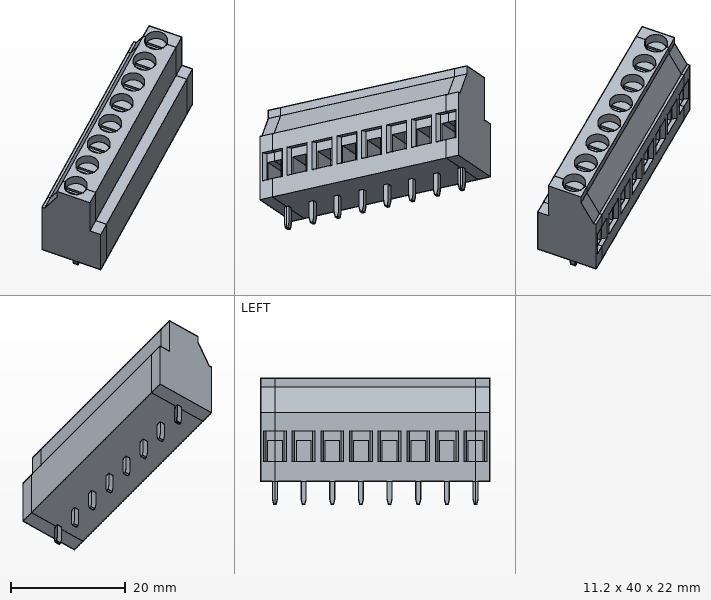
import cadquery as cq

POLE_COUNT = 8
PITCH = 5.0
LENGTH = POLE_COUNT * PITCH
END_LENGTH = PITCH / 2

DEPTH = 11.2
HEIGHT = 18.0
FRONT_LIP = 0.5
FRONT_HEIGHT = 12.0
SLOPE_TOP_X = 2.9
SLOPE_TOP_Z = 16.45
BACK_STEP_X = 9.15
BACK_STEP_Z = 10.0

WELL_DIAMETER = 4.0
WELL_X = 5.35
WELL_DEPTH = 2.0
SLOT_WIDTH = 0.8
SLOT_DEPTH = 0.5

FUNNEL_FLOOR_Z = 3.5
FUNNEL_HEIGHT = 5.3
FUNNEL_OUTER_WIDTH = 4.0
FUNNEL_INNER_WIDTH = 3.12
FUNNEL_DEPTH = 0.8
POCKET_WIDTH = 2.56
POCKET_FLOOR_Z = 3.4
POCKET_TOP_Z = 7.1
POCKET_END_X = WELL_X + WELL_DIAMETER / 2

PIN_X = 5.45
PIN_WIDTH = 0.9
PIN_LENGTH = 4.0
PIN_TIP_WIDTH = 0.45
PIN_TIP_LENGTH = 0.85

pole_positions = [(i - (POLE_COUNT - 1) / 2) * PITCH for i in range(POLE_COUNT)]


def make_profile_block():
    """Solid bar with the stepped and sloped side profile."""
    return (
        cq.Workplane("XZ", origin=(0, LENGTH / 2, 0))
        .moveTo(0, 0)
        .lineTo(DEPTH, 0)
        .lineTo(DEPTH, BACK_STEP_Z)
        .lineTo(BACK_STEP_X, BACK_STEP_Z)
        .lineTo(BACK_STEP_X, HEIGHT)
        .lineTo(SLOPE_TOP_X, HEIGHT)
        .lineTo(SLOPE_TOP_X, SLOPE_TOP_Z)
        .lineTo(FRONT_LIP, FRONT_HEIGHT)
        .lineTo(0, FRONT_HEIGHT)
        .close()
        .extrude(LENGTH)
    )


def make_screw_well(y):
    """Round well above the screw head, with the driver slot sunk into its floor."""
    floor = cq.Workplane("XY", origin=(WELL_X, y, HEIGHT - WELL_DEPTH))
    well = floor.circle(WELL_DIAMETER / 2).extrude(WELL_DEPTH)
    head = floor.circle(WELL_DIAMETER / 2).extrude(-SLOT_DEPTH)
    slot = floor.rect(WELL_DIAMETER, SLOT_WIDTH).extrude(-SLOT_DEPTH).intersect(head)
    return well.union(slot)


def make_wire_entry(y):
    """Funnel at the front face and the pocket behind it, whose floor sits slightly lower."""
    funnel = (
        cq.Workplane("XY", origin=(0, y, FUNNEL_FLOOR_Z))
        .moveTo(0, -FUNNEL_OUTER_WIDTH / 2)
        .lineTo(FUNNEL_DEPTH, -FUNNEL_INNER_WIDTH / 2)
        .lineTo(FUNNEL_DEPTH, FUNNEL_INNER_WIDTH / 2)
        .lineTo(0, FUNNEL_OUTER_WIDTH / 2)
        .close()
        .extrude(FUNNEL_HEIGHT)
    )
    pocket = cq.Workplane("XY", origin=(FUNNEL_DEPTH, y, POCKET_FLOOR_Z)).box(
        POCKET_END_X - FUNNEL_DEPTH,
        POCKET_WIDTH,
        POCKET_TOP_Z - POCKET_FLOOR_Z,
        centered=(False, True, False),
    )
    return funnel.union(pocket)


def make_pin(y):
    """Square pin below the housing, narrowed along Y at its tip."""
    return (
        cq.Workplane("YZ", origin=(PIN_X - PIN_WIDTH / 2, y, 0))
        .moveTo(-PIN_WIDTH / 2, 0)
        .lineTo(PIN_WIDTH / 2, 0)
        .lineTo(PIN_WIDTH / 2, PIN_TIP_LENGTH - PIN_LENGTH)
        .lineTo(PIN_TIP_WIDTH / 2, -PIN_LENGTH)
        .lineTo(-PIN_TIP_WIDTH / 2, -PIN_LENGTH)
        .lineTo(-PIN_WIDTH / 2, PIN_TIP_LENGTH - PIN_LENGTH)
        .close()
        .extrude(PIN_WIDTH)
    )


def make_full_row():
    """The whole terminal block before it is divided at the joints."""
    row = make_profile_block()
    for y in pole_positions:
        row = row.cut(make_screw_well(y))
        row = row.cut(make_wire_entry(y))
        row = row.union(make_pin(y))
    return row


def take_section(row, y_start, y_end):
    """The part of the row between two planes across its length."""
    slab = cq.Workplane("XY", origin=(0, y_start, -PIN_LENGTH)).box(
        DEPTH, y_end - y_start, PIN_LENGTH + HEIGHT, centered=False
    )
    return row.intersect(slab, clean=False).solids()


full_row = make_full_row()
joint_y = LENGTH / 2 - END_LENGTH

middle_housing = take_section(full_row, -joint_y, joint_y)
end_pieces = [
    take_section(full_row, -LENGTH / 2, -joint_y),
    take_section(full_row, joint_y, LENGTH / 2),
]

result = cq.Compound.makeCompound([middle_housing.val(), *[piece.val() for piece in end_pieces]])